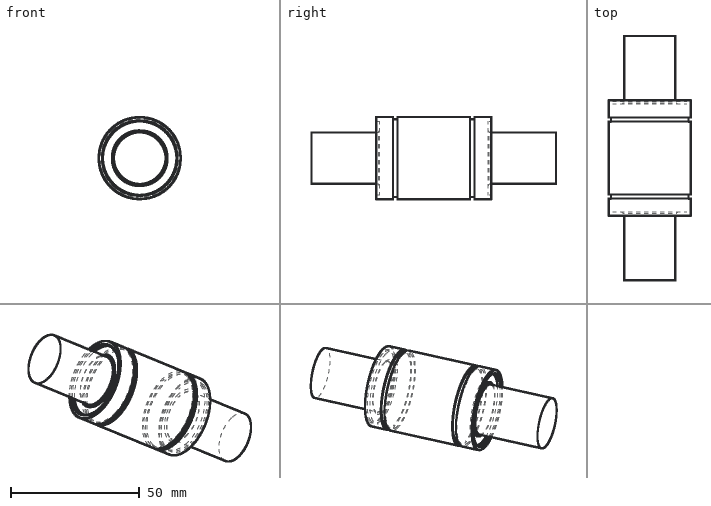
import cadquery as cq
SHAFT_DIAMETER = 20.0
SHAFT_LENGTH = 95.0

SLEEVE_DIAMETER = 32.0
SLEEVE_LENGTH = 45.0
SLEEVE_CHAMFER = 0.2

GROOVE_DIAMETER = 30.3
GROOVE_WIDTH = 1.6
GROOVE_OUTER_SPAN = 31.5

RECESS_DIAMETER = 28.5
RECESS_DEPTH = 1.5
RECESS_CHAMFER = 0.4

LIP_BASE_DIAMETER = 21.7
LIP_TIP_DIAMETER = 20.4
LIP_HEIGHT = 0.5

END_SIDES = (-1, 1)


def cylinder(diameter, length, center_y=0.0):
    """Cylinder along Y, centred at center_y."""
    start = cq.Workplane("XZ", origin=(0, center_y + length / 2, 0))
    return start.circle(diameter / 2).extrude(length)


def groove(side):
    """Ring to be cut from the sleeve for one retaining ring groove."""
    center_y = side * (GROOVE_OUTER_SPAN - GROOVE_WIDTH) / 2
    outer = cylinder(SLEEVE_DIAMETER, GROOVE_WIDTH, center_y)
    return outer.cut(cylinder(GROOVE_DIAMETER, GROOVE_WIDTH, center_y))


def end_recess(side):
    """Disc to be cut from one sleeve end, with a flared rim and a tapered seal lip left standing."""
    face_y = side * SLEEVE_LENGTH / 2
    floor_y = face_y - side * RECESS_DEPTH
    lip_tip_y = floor_y + side * LIP_HEIGHT
    rim_radius = RECESS_DIAMETER / 2
    profile = (
        cq.Workplane("XY")
        .moveTo(LIP_BASE_DIAMETER / 2, floor_y)
        .lineTo(rim_radius, floor_y)
        .lineTo(rim_radius, face_y - side * RECESS_CHAMFER)
        .lineTo(rim_radius + RECESS_CHAMFER, face_y)
        .lineTo(0, face_y)
        .lineTo(0, lip_tip_y)
        .lineTo(LIP_TIP_DIAMETER / 2, lip_tip_y)
        .close()
    )
    return profile.revolve(360, (0, 0, 0), (0, 1, 0))


def make_sleeve():
    """Bearing sleeve with its grooves and end recesses."""
    sleeve = cylinder(SLEEVE_DIAMETER, SLEEVE_LENGTH).edges().chamfer(SLEEVE_CHAMFER)
    for side in END_SIDES:
        sleeve = sleeve.cut(groove(side))
        sleeve = sleeve.cut(end_recess(side))
    return sleeve


result = make_sleeve().union(cylinder(SHAFT_DIAMETER, SHAFT_LENGTH))